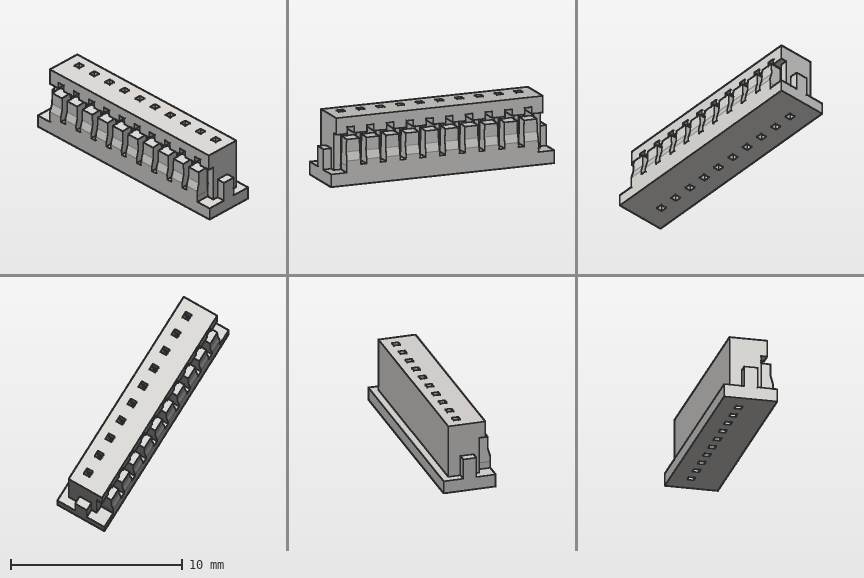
import cadquery as cq

length = 14.15
depth = 3.2
height = 4.0
front = -depth / 2

base_height = 0.78
housing_end_margin = 0.52
housing_depth = 2.28
housing_length = length - 2 * housing_end_margin
housing_front = front + 0.47

lip_underside = 3.0
housing_face = front + 0.83

tab_top = 2.01
tab_depth = 0.8
tab_front = front + 1.19

contact_count = 10
contact_span = 11.25
pitch = contact_span / (contact_count - 1)
contact_positions = [i * pitch - contact_span / 2 for i in range(contact_count)]

hole_size = 0.4
hole_front = front + 1.77
hole_rear = hole_front + hole_size
cavity_width = 0.98
notch_width = 0.44
notch_top = 3.4

sill_top = 1.2
finger_root_width = 0.9
finger_tip_width = 0.8
finger_tip_front = front + 0.14
bevel_bottom = 1.5
bevel_top = 2.01
finger_front_top = 2.75
finger_rear_top = 2.79
sill_length = contact_span + finger_root_width


def block(x_center, x_size, y_min, y_max, z_min, z_max):
    """Box centred on x_center in X and spanning the given Y and Z limits."""
    return cq.Workplane("XY").box(
        x_size, y_max - y_min, z_max - z_min, centered=(True, False, False)
    ).translate((x_center, y_min, z_min))


def make_housing():
    """Base plate, end tabs, and housing with the recess under its lip."""
    base = block(0, length, front, front + depth, 0, base_height)
    upper = block(0, housing_length, housing_front, housing_front + housing_depth, base_height, height)
    recess = block(0, housing_length, housing_front, housing_face, base_height, lip_underside)
    tabs = block(0, length, tab_front, tab_front + tab_depth, base_height, tab_top)
    return base.union(upper.cut(recess)).union(tabs)


def make_contact_opening(x):
    """Vertical contact hole joined to the front cavity and the lip notch."""
    hole = block(x, hole_size, hole_front, hole_rear, 0, height)
    cavity = block(x, cavity_width, housing_face, hole_rear, base_height, lip_underside)
    notch = block(x, notch_width, housing_front, hole_rear, lip_underside, notch_top)
    return hole.union(cavity).union(notch)


def make_finger(x):
    """Bevelled latch finger whose sides taper from the sill to its tip."""
    side_profile = (
        cq.Workplane("YZ")
        .polyline([
            (housing_face, sill_top),
            (front, sill_top),
            (front, bevel_bottom),
            (finger_tip_front, bevel_top),
            (finger_tip_front, finger_front_top),
            (housing_face, finger_rear_top),
        ])
        .close()
        .extrude(finger_root_width / 2, both=True)
    )
    tapered_outline = (
        cq.Workplane("XZ", origin=(0, housing_face, 0))
        .polyline([
            (-finger_root_width / 2, sill_top),
            (finger_root_width / 2, sill_top),
            (finger_tip_width / 2, finger_rear_top),
            (-finger_tip_width / 2, finger_rear_top),
        ])
        .close()
        .extrude(housing_face - front)
    )
    return side_profile.intersect(tapered_outline).translate((x, 0, 0))


result = make_housing()
for x in contact_positions:
    result = result.cut(make_contact_opening(x))

result = result.union(block(0, sill_length, front, housing_face, base_height, sill_top))
for x in contact_positions:
    result = result.union(make_finger(x))